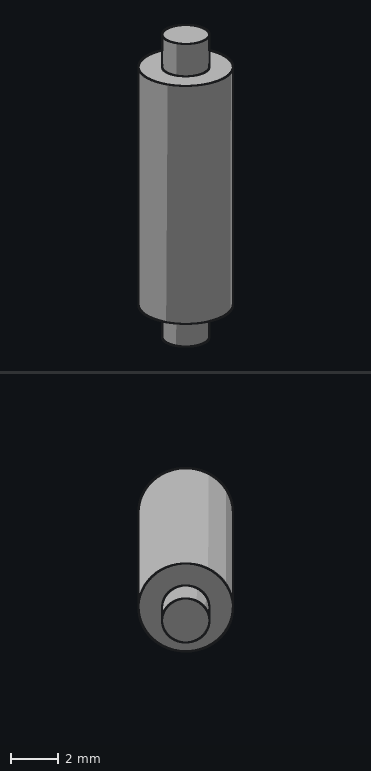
import cadquery as cq

total_length = 14.0
body_diameter = 4.0
pin_diameter = body_diameter / 2
pin_length = 1.5
body_length = total_length - 2 * pin_length


def centred_cylinder(diameter, length):
    """Cylinder along Z, centred on the origin."""
    return cq.Workplane("XY").cylinder(length, diameter / 2)


body = centred_cylinder(body_diameter, body_length)
pins = centred_cylinder(pin_diameter, total_length)

result = body.union(pins)